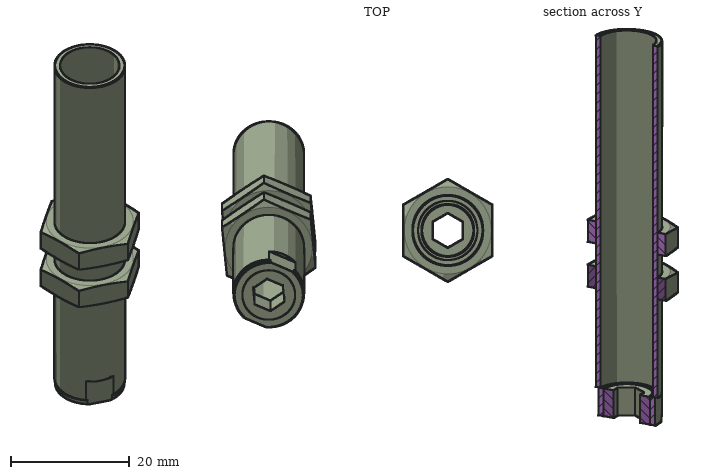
import cadquery as cq
import math

length = 68.0
tube_diameter = 12.0
bore_diameter = 10.0
seat_diameter = 8.9
seat_depth = 5.0
rim_chamfer = 0.15
foot_diameter = 11.75
foot_height = 1.0
foot_chamfer = 0.15

flat_spacing = 10.95
flat_height = 5.0

nut_width = 15.0
nut_height = 4.0
nut_spacing = 8.0
lower_nut_base = 22.65
nut_count = 2
nut_face_diameter = 14.7
nut_chamfer_height = 0.3

plug_chamfer = 0.15
socket_width = 5.0


def hexagon_prism(width, height):
    """Hexagonal prism on Z = 0 with two of its faces square to X."""
    corner_diameter = width / math.cos(math.pi / 6)
    return (
        cq.Workplane("XY")
        .transformed(rotate=(0, 0, 90))
        .polygon(6, corner_diameter)
        .extrude(height)
    )


def cylinder(diameter, height, base=0.0):
    """Upright cylinder on the Z axis, starting at the given base height."""
    return cq.Workplane("XY").workplane(offset=base).circle(diameter / 2).extrude(height)


def make_housing():
    """Tube with a stepped bore, a reduced foot and two wrench flats."""
    tube = cylinder(tube_diameter, length - foot_height, foot_height)
    tube = tube.faces(">Z").chamfer(rim_chamfer)
    foot = cylinder(foot_diameter, foot_height).faces("<Z").chamfer(foot_chamfer)
    tube = tube.union(foot)
    tube = tube.cut(cylinder(seat_diameter, seat_depth))
    tube = tube.cut(cylinder(bore_diameter, length - seat_depth, seat_depth))
    between_flats = cq.Workplane("XY").box(
        flat_spacing, tube_diameter, flat_height, centered=(True, True, False)
    )
    above_flats = cylinder(tube_diameter, length - flat_height, flat_height)
    return tube.intersect(between_flats.union(above_flats))


def make_nut(base):
    """Hexagon nut with its corners chamfered at both ends."""
    face_radius = nut_face_diameter / 2
    corner_radius = nut_width / 2 / math.cos(math.pi / 6)
    corner_envelope = (
        cq.Workplane("XZ")
        .moveTo(0, 0)
        .lineTo(face_radius, 0)
        .lineTo(corner_radius, nut_chamfer_height)
        .lineTo(corner_radius, nut_height - nut_chamfer_height)
        .lineTo(face_radius, nut_height)
        .lineTo(0, nut_height)
        .close()
        .revolve()
    )
    nut = hexagon_prism(nut_width, nut_height).intersect(corner_envelope)
    return nut.cut(cylinder(tube_diameter, nut_height)).translate((0, 0, base))


def make_plug():
    """Round plug filling the seat, with a hexagon socket right through it."""
    plug = cylinder(seat_diameter, seat_depth).faces(">Z").chamfer(plug_chamfer)
    return plug.cut(hexagon_prism(socket_width, seat_depth))


housing = make_housing()
plug = make_plug()
nuts = [make_nut(lower_nut_base + i * nut_spacing) for i in range(nut_count)]

result = cq.Compound.makeCompound([housing.val(), plug.val(), *[nut.val() for nut in nuts]])